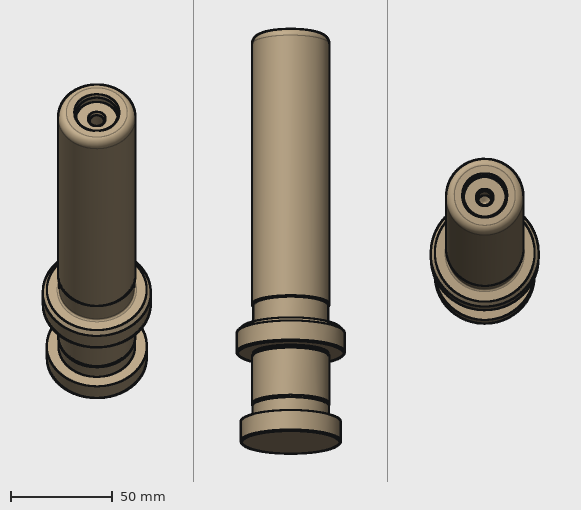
import cadquery as cq
import math

total_height = 205.0
edge_break = 0.6

flange_radius = 24.5
flange_height = 10.5
boss_radius = 18.9
boss_top = 18.5

pin_radius = 19.0
pin_top_fillet = 4.0
pin_end_chamfer = 1.0

collar_diameter = 53.0
collar_radius = collar_diameter / 2
collar_bottom = 44.9
collar_top = 57.2
collar_top_chamfer = 2.0
neck_radius = 18.5
neck_top = 69.0
neck_root_fillet = 1.0
undercut_height = 1.0

recess_radius = 10.2
recess_depth = 5.3
recess_chamfer = 0.8
hole_radius = 3.5
hole_depth = 12.3
hole_chamfer = 0.8
chamfer_half_angle = 25.0
drill_half_angle = 59.0


def revolve_about_z(profile):
    """Turn a closed radius-height profile about the Z axis."""
    return profile.close().revolve(360, (0, 0, 0), (0, 1, 0))


def make_washer():
    flange = cq.Workplane("XY").circle(flange_radius).extrude(flange_height)
    flange = flange.faces("<Z").edges().chamfer(edge_break)
    boss = cq.Workplane("XY").circle(boss_radius).extrude(boss_top)
    return flange.union(boss)


def make_pin_blank():
    """Solid turned pin standing on the washer boss, collar included."""
    neck_step = pin_radius - neck_radius
    undercut_bottom = collar_bottom - undercut_height
    fillet_mid = neck_root_fillet * (1 - math.sqrt(0.5))
    profile = (
        cq.Workplane("XZ")
        .moveTo(0, boss_top)
        .lineTo(pin_radius - pin_end_chamfer, boss_top)
        .lineTo(pin_radius, boss_top + pin_end_chamfer)
        .lineTo(pin_radius, undercut_bottom - neck_step)
        .lineTo(neck_radius, undercut_bottom)
        .lineTo(neck_radius, collar_bottom)
        .lineTo(collar_radius - edge_break, collar_bottom)
        .lineTo(collar_radius, collar_bottom + edge_break)
        .lineTo(collar_radius, collar_top - collar_top_chamfer)
        .lineTo(collar_radius - collar_top_chamfer, collar_top)
        .lineTo(neck_radius + neck_root_fillet, collar_top)
        .threePointArc(
            (neck_radius + fillet_mid, collar_top + fillet_mid),
            (neck_radius, collar_top + neck_root_fillet),
        )
        .lineTo(neck_radius, neck_top)
        .lineTo(pin_radius, neck_top + neck_step)
        .lineTo(pin_radius, total_height)
        .lineTo(0, total_height)
    )
    return revolve_about_z(profile).faces(">Z").edges().fillet(pin_top_fillet)


def make_top_hole():
    """Cutter for the chamfered recess and the drilled hole in its floor."""
    chamfer_slope = math.tan(math.radians(chamfer_half_angle))
    recess_chamfer_depth = recess_chamfer / chamfer_slope
    hole_chamfer_depth = hole_chamfer / chamfer_slope
    floor = total_height - recess_depth
    hole_bottom = floor - hole_depth
    drill_point = hole_bottom - hole_radius / math.tan(math.radians(drill_half_angle))
    profile = (
        cq.Workplane("XZ")
        .moveTo(0, drill_point)
        .lineTo(hole_radius, hole_bottom)
        .lineTo(hole_radius, floor - hole_chamfer_depth)
        .lineTo(hole_radius + hole_chamfer, floor)
        .lineTo(recess_radius, floor)
        .lineTo(recess_radius, total_height - recess_chamfer_depth)
        .lineTo(recess_radius + recess_chamfer, total_height)
        .lineTo(0, total_height)
    )
    return revolve_about_z(profile)


washer = make_washer()
pin = make_pin_blank().cut(make_top_hole())

result = cq.Compound.makeCompound([washer.val(), pin.val()])